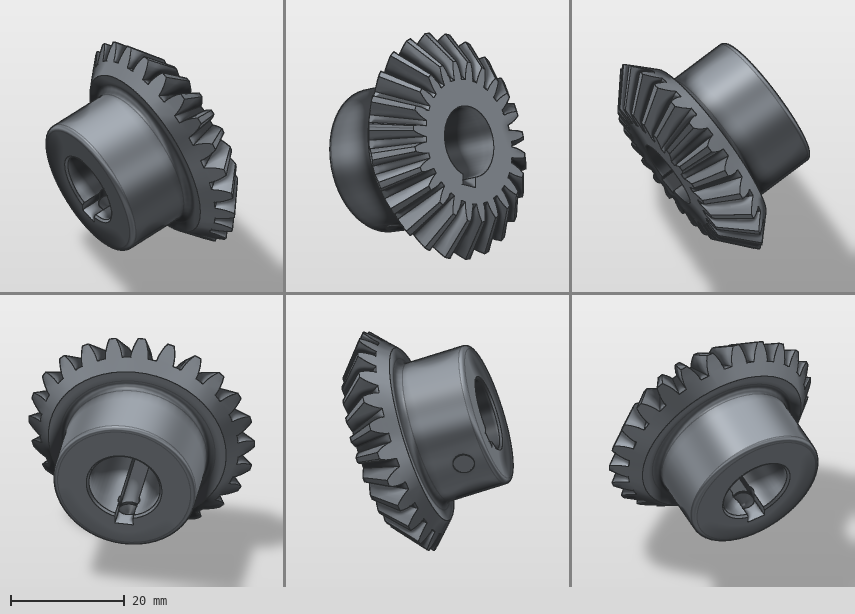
import cadquery as cq
import math

TOOTH_COUNT = 24
OUTER_RADIUS = 20.18
PITCH_ANGLE = math.radians(45.0)
PITCH_RADIUS = 19.05
WHOLE_DEPTH = 3.43
TOOTH_HALF_WIDTH_ROOT = 1.555
TOOTH_HALF_WIDTH_PITCH = 1.25
TOOTH_HALF_WIDTH_TIP = 0.6

GEAR_LENGTH = 22.1
TIP_Y = 16.9
FLANGE_Y = 12.63

HUB_RADIUS = 12.7
HUB_EDGE_FILLET = 0.8
HUB_ROOT_FILLET = 1.2

BORE_RADIUS = 6.355
BORE_CHAMFER = 0.4
KEYWAY_WIDTH = 3.25
KEYWAY_FLOOR = 8.0

SCREW_RADIUS = 1.9
SCREW_Y = 4.72
SCREW_SINK = 0.5
SCREW_PROTRUSION = 0.15
SCREW_CUP_DEPTH = 1.2
SCREW_INNER_Z = -(KEYWAY_FLOOR + SCREW_SINK)
SCREW_OUTER_Z = -(HUB_RADIUS + SCREW_PROTRUSION)

CUTTER_OUTER_SCALE = 1.1
CUTTER_INNER_SCALE = 0.5
CUTTER_FLARE = 0.2
CUTTER_RISE = 0.8
SELECTION_MARGIN = 0.4

ADDENDUM = (OUTER_RADIUS - PITCH_RADIUS) / math.sin(PITCH_ANGLE)
DEDENDUM = WHOLE_DEPTH - ADDENDUM
PITCH_Y = TIP_Y - ADDENDUM * math.cos(PITCH_ANGLE)
APEX_Y = PITCH_Y + PITCH_RADIUS / math.tan(PITCH_ANGLE)
CONE_DISTANCE = PITCH_RADIUS / math.sin(PITCH_ANGLE)
FLANGE_RADIUS = OUTER_RADIUS - (TIP_Y - FLANGE_Y) * math.tan(PITCH_ANGLE)
FACE_TIP_RADIUS = OUTER_RADIUS * (APEX_Y - GEAR_LENGTH) / (APEX_Y - TIP_Y)

UNROLLED_RADIUS = PITCH_RADIUS / math.cos(PITCH_ANGLE)
UNROLLED_HALF_PITCH = math.pi * PITCH_RADIUS / TOOTH_COUNT / UNROLLED_RADIUS


def hub_circle_at(y):
    """Selector for the edge of hub radius that lies at the given Y."""
    reach = HUB_RADIUS + SELECTION_MARGIN
    return cq.selectors.BoxSelector(
        (-reach, y - SELECTION_MARGIN, -reach), (reach, y + SELECTION_MARGIN, reach), boundingbox=True
    )


def gear_blank():
    """Hub, flange and uncut tooth cone, revolved about the Y axis."""
    blank = (
        cq.Workplane("XY")
        .moveTo(0, 0)
        .lineTo(HUB_RADIUS, 0)
        .lineTo(HUB_RADIUS, FLANGE_Y)
        .lineTo(FLANGE_RADIUS, FLANGE_Y)
        .lineTo(OUTER_RADIUS, TIP_Y)
        .lineTo(FACE_TIP_RADIUS, GEAR_LENGTH)
        .lineTo(0, GEAR_LENGTH)
        .close()
        .revolve(360, (0, 0, 0), (0, 1, 0))
    )
    blank = blank.edges(hub_circle_at(0)).fillet(HUB_EDGE_FILLET)
    return blank.edges(hub_circle_at(FLANGE_Y)).fillet(HUB_ROOT_FILLET)


def gap_side_point(height, tooth_half_width):
    """Point on one side of a tooth gap, at a height above the pitch circle."""
    radius = UNROLLED_RADIUS + height
    angle = UNROLLED_HALF_PITCH - tooth_half_width / radius
    return radius * math.sin(angle), radius * math.cos(angle) - UNROLLED_RADIUS


def gap_section(scale):
    """Outline of a tooth gap square to the pitch cone, scaled about the cone apex."""
    root = gap_side_point(-DEDENDUM, TOOTH_HALF_WIDTH_ROOT)
    pitch = gap_side_point(0, TOOTH_HALF_WIDTH_PITCH)
    tip = gap_side_point(ADDENDUM, TOOTH_HALF_WIDTH_TIP)
    above_tip = (tip[0] + CUTTER_FLARE, tip[1] + CUTTER_RISE)

    def right(point):
        return point[0] * scale, point[1] * scale

    def left(point):
        return -point[0] * scale, point[1] * scale

    along_cone = CONE_DISTANCE * scale
    plane = cq.Plane(
        origin=(
            along_cone * math.sin(PITCH_ANGLE),
            APEX_Y - along_cone * math.cos(PITCH_ANGLE),
            0,
        ),
        xDir=(0, 0, 1),
        normal=(-math.sin(PITCH_ANGLE), math.cos(PITCH_ANGLE), 0),
    )
    outline = (
        cq.Workplane(plane)
        .moveTo(*left(root))
        .lineTo(*right(root))
        .threePointArc(right(pitch), right(tip))
        .lineTo(*right(above_tip))
        .lineTo(*left(above_tip))
        .lineTo(*left(tip))
        .threePointArc(left(pitch), left(root))
        .close()
    )
    return outline.val()


def tooth_gaps():
    """One cutter per tooth gap, tapering toward the cone apex."""
    sections = [gap_section(CUTTER_OUTER_SCALE), gap_section(CUTTER_INNER_SCALE)]
    cutter = cq.Solid.makeLoft(sections, ruled=True)
    pitch_step = 360.0 / TOOTH_COUNT
    return [
        cutter.rotate(cq.Vector(0, 0, 0), cq.Vector(0, 1, 0), (index + 0.5) * pitch_step)
        for index in range(TOOTH_COUNT)
    ]


def bore():
    """Through bore with a chamfered mouth at the hub end."""
    mouth_radius = BORE_RADIUS + BORE_CHAMFER
    return (
        cq.Workplane("XY")
        .moveTo(0, 0)
        .lineTo(mouth_radius, 0)
        .lineTo(BORE_RADIUS, BORE_CHAMFER)
        .lineTo(BORE_RADIUS, GEAR_LENGTH)
        .lineTo(0, GEAR_LENGTH)
        .close()
        .revolve(360, (0, 0, 0), (0, 1, 0))
    )


def keyway():
    """Keyway running the full length of the bore on its -Z side."""
    return (
        cq.Workplane("XY")
        .box(KEYWAY_WIDTH, GEAR_LENGTH, KEYWAY_FLOOR, centered=(True, False, False))
        .translate((0, 0, -KEYWAY_FLOOR))
    )


def screw_hole():
    """Radial hole from the bore out through the -Z side of the hub."""
    return cq.Workplane("XY").center(0, SCREW_Y).circle(SCREW_RADIUS).extrude(SCREW_OUTER_Z)


def make_gear():
    """Toothed gear with its bore, keyway and set screw hole."""
    gear = gear_blank().cut(bore()).cut(keyway()).cut(screw_hole())
    return gear.val().cut(*tooth_gaps())


def make_set_screw():
    """Set screw with a conical cup in its inner end, just below the keyway floor."""
    screw = (
        cq.Workplane("XZ")
        .moveTo(0, SCREW_OUTER_Z)
        .lineTo(SCREW_RADIUS, SCREW_OUTER_Z)
        .lineTo(SCREW_RADIUS, SCREW_INNER_Z)
        .lineTo(0, SCREW_INNER_Z - SCREW_CUP_DEPTH)
        .close()
        .revolve(360, (0, 0, 0), (0, 1, 0))
        .translate((0, SCREW_Y, 0))
    )
    return screw.val()


gear = make_gear()
set_screw = make_set_screw()
result = cq.Compound.makeCompound([gear, set_screw])